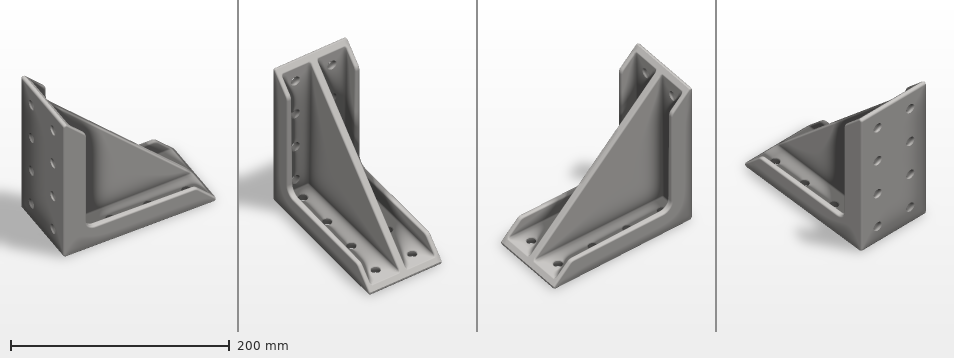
import cadquery as cq
import math

width = 80.0
leg = 160.2
slope_reach = 163.7

plate = 7.7
rib_half = plate / 2
side_wall = 5.0
draft = math.radians(1)

rail = 24.0
rail_corner = 10.0
rail_end = 7.0

hole_diameter = 8.8
hole_chamfer = 0.6
hole_pitch = leg / 4
hole_rows = [hole_pitch * (i + 0.5) for i in range(4)]

edge_radius = 1.6
heel_radius = 3.0
tip_radius = 2.1

overlap = 8.0
tolerance = 0.02


def bracket_body():
    """Right-angled wedge with blunt tips, rounded at the heel and at both tips."""
    blunt = slope_reach - leg
    outline = [(0, 0), (leg, 0), (leg, blunt), (blunt, leg), (0, leg)]
    body = cq.Workplane("YZ").polyline(outline).close().extrude(width / 2, both=True)
    body = body.edges("|X and <Y and <Z").fillet(heel_radius)
    for tip in [(0, 0, leg), (0, leg, 0)]:
        body = body.edges(cq.NearestToPointSelector(tip)).fillet(tip_radius)
    return body


def inner_wedge(offset):
    """Triangular prism across the part, its square sides at offset from the outer faces."""
    far = slope_reach + overlap - offset
    corners = [(offset, offset), (far, offset), (offset, far)]
    return cq.Workplane("YZ").polyline(corners).close().extrude(width, both=True)


def pocket(side):
    """Drafted pocket between the centre rib and one side wall; side is -1 or 1."""
    outer = width / 2 - side_wall
    rise = overlap * math.tan(draft)
    drop = leg * math.tan(draft)
    section = [
        (side * (rib_half - rise), overlap),
        (side * (outer + rise), overlap),
        (side * (outer - drop), -leg),
        (side * (rib_half + drop), -leg),
    ]
    middle = slope_reach / 2
    across_slope = cq.Plane(origin=(0, middle, middle), xDir=(1, 0, 0), normal=(0, -1, 1))
    channel = cq.Workplane(across_slope).polyline(section).close().extrude(leg, both=True)
    tool = channel.intersect(inner_wedge(plate))
    below_slope = tool.edges().filter(lambda e: e.Center().y + e.Center().z < slope_reach)
    return below_slope.fillet(edge_radius)


def side_opening(side):
    """Space above the L-shaped rail of one side wall."""
    tool = inner_wedge(rail).edges("|X and <Y and <Z").fillet(rail_corner)
    pocket_middle = (width / 2 - side_wall + rib_half) / 2
    side_block = cq.Workplane("XY").box(width, 3 * leg, 3 * leg)
    return tool.intersect(side_block.translate((side * (pocket_middle + width / 2), 0, 0)))


def lies_on_slope(center):
    return abs(center.y + center.z - slope_reach) < tolerance


def round_rail_ends(body):
    """Soften the four corners where a rail edge meets the sloping face."""
    def at_rail_end(edge):
        center = edge.Center()
        on_rail = min(abs(center.y - rail), abs(center.z - rail)) < tolerance
        return on_rail and lies_on_slope(center)
    return body.edges("|X").filter(at_rail_end).fillet(rail_end)


def round_pocket_rims(body):
    """Soften the pocket openings on the sloping face and along the inside of the rails."""
    def at_rim(edge):
        center = edge.Center()
        lowest = min(center.y, center.z)
        in_pocket = abs(center.x) < width / 2 - side_wall + edge_radius / 2
        on_rail = lowest > rail - edge_radius
        on_opening = lies_on_slope(center) and lowest > plate - edge_radius
        return in_pocket and (on_rail or on_opening)
    return body.edges().filter(at_rim).fillet(edge_radius)


def drill(body):
    """Grid of through holes in both plates, chamfered at both ends."""
    half = hole_diameter / 2
    profile = [
        (0, 0), (half + hole_chamfer, 0), (half, hole_chamfer),
        (half, plate - hole_chamfer), (half + hole_chamfer, plate), (0, plate),
    ]
    hole = cq.Workplane("XY").polyline(profile).close().revolve(360, (0, 0), (0, 1))
    upright_hole = hole.rotate((0, 0, 0), (1, 0, 0), 90)
    for x in (-hole_pitch / 2, hole_pitch / 2):
        for row in hole_rows:
            body = body.cut(hole.translate((x, 0, row)))
            body = body.cut(upright_hole.translate((x, row, 0)))
    return body


body = bracket_body()
for side in (-1, 1):
    body = body.cut(pocket(side)).cut(side_opening(side))
body = round_rail_ends(body)
for side_face in ("<X", ">X"):
    body = body.faces(side_face).edges().fillet(edge_radius)
body = round_pocket_rims(body)
result = drill(body)